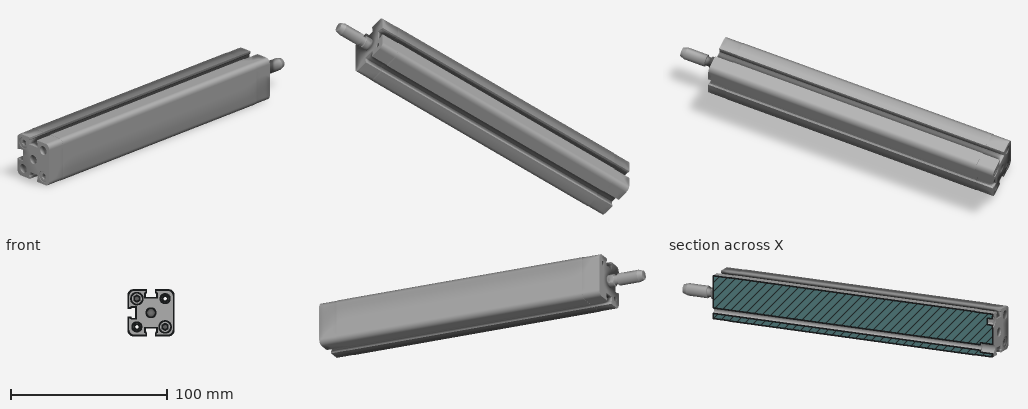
import cadquery as cq
import math

BODY_LENGTH = 198.0
CAP_LENGTH = 12.2
ROD_LENGTH = 24.5

BODY_WIDTH = 29.1
CAP_INSET = 0.18
CORNER_RADIUS = 3.5

SLOT_MOUTH = 6.0
SLOT_WIDTH = 7.3
SLOT_DEPTH = 5.0
LIP_THICKNESS = 1.5
LIP_SLOPE = 0.7

HOLE_SPACING = 18.0
SCREW_BORE_DIAMETER = 7.5
SCREW_BORE_DEPTH = 0.5
SOCKET_ACROSS_FLATS = 3.5
SOCKET_DEPTH = 3.3
THROUGH_HOLE_DIAMETER = 3.3
COUNTERBORE_DIAMETER = 6.0
COUNTERBORE_DEPTH = 9.0
CENTRE_HOLE_DIAMETER = 6.0
CENTRE_HOLE_DEPTH = 4.5

ROD_DIAMETER = 8.0
TIP_DIAMETER = 6.0
NECK_DIAMETER = 6.0
FLATS_WIDTH = 6.2
TIP_BEVEL = 3.1
THREAD_LENGTH = 17.1
NECK_LENGTH = 3.1
NECK_FILLET = 0.5
FLATS_LENGTH = 3.1

ROD_TIP = BODY_LENGTH + ROD_LENGTH
THREAD_END = ROD_TIP - THREAD_LENGTH
NECK_END = THREAD_END - NECK_LENGTH
FLATS_END = NECK_END - FLATS_LENGTH


def cylinder(diameter, start, end, x=0.0, z=0.0):
    """Round bar along +Y between two Y positions."""
    start_plane = cq.Plane((x, start, z), (1, 0, 0), (0, 1, 0))
    return cq.Workplane(start_plane).circle(diameter / 2).extrude(end - start)


def slot_cutter(inset, start, end):
    """Undercut slot open to the +Z side, with its walls and floor set back by the inset."""
    half_mouth = SLOT_MOUTH / 2 + inset
    half_slot = SLOT_WIDTH / 2 + inset
    outside = BODY_WIDTH
    lip_bottom = BODY_WIDTH / 2 - LIP_THICKNESS
    slope_bottom = lip_bottom - LIP_SLOPE
    floor = BODY_WIDTH / 2 - SLOT_DEPTH - inset
    right_wall = [(half_slot, floor), (half_slot, slope_bottom), (half_mouth, lip_bottom), (half_mouth, outside)]
    left_wall = [(-x, z) for x, z in reversed(right_wall)]
    outline = right_wall + left_wall
    return cq.Workplane("XZ", origin=(0, start, 0)).polyline(outline).close().extrude(start - end)


def slotted_bar(inset, start, end):
    """Length of the slotted section, its whole outline set back by the inset."""
    length = end - start
    width = BODY_WIDTH - 2 * inset
    bar = cq.Workplane("XY").box(width, length, width).translate((0, start + length / 2, 0))
    bar = bar.edges("|Y").fillet(CORNER_RADIUS - inset)
    for angle in (0, 180, -90):
        bar = bar.cut(slot_cutter(inset, start, end).rotate((0, 0, 0), (0, 1, 0), angle))
    return bar


def make_body():
    """Tube between a front and a rear end cap."""
    tube_end = BODY_LENGTH - CAP_LENGTH
    front_cap = slotted_bar(CAP_INSET, 0, CAP_LENGTH)
    tube = slotted_bar(0, CAP_LENGTH, tube_end)
    rear_cap = slotted_bar(CAP_INSET, tube_end, BODY_LENGTH)
    return front_cap.union(tube).union(rear_cap)


def cut_screw(body, x, z):
    """Sunken screw head with a hexagon socket, two of its flats facing +X and -X."""
    bore = cylinder(SCREW_BORE_DIAMETER, 0, SCREW_BORE_DEPTH, x, z)
    corner_diameter = SOCKET_ACROSS_FLATS / math.cos(math.pi / 6)
    socket_plane = cq.Plane((x, 0, z), (0, 0, 1), (0, 1, 0))
    socket = cq.Workplane(socket_plane).polygon(6, corner_diameter).extrude(SCREW_BORE_DEPTH + SOCKET_DEPTH)
    return body.cut(bore).cut(socket)


def cut_through_hole(body, x, z):
    """Hole along the whole body, counterbored at the front."""
    body = body.cut(cylinder(THROUGH_HOLE_DIAMETER, 0, BODY_LENGTH, x, z))
    return body.cut(cylinder(COUNTERBORE_DIAMETER, 0, COUNTERBORE_DEPTH, x, z))


def make_flat_cutter():
    """Cutter for the flat on the +X side of the rod, with a sloped run-out toward the body."""
    flat_x = FLATS_WIDTH / 2
    outside = ROD_DIAMETER
    top = NECK_END + NECK_FILLET
    runout_end = FLATS_END - (outside - flat_x)
    outline = [(flat_x, top), (flat_x, FLATS_END), (outside, runout_end), (outside, top)]
    return cq.Workplane("XY").polyline(outline).close().extrude(ROD_DIAMETER, both=True)


def make_rod():
    """Rod with a plain base, a filleted neck, a thread cylinder and a bevelled tip."""
    rod_radius = ROD_DIAMETER / 2
    neck_radius = NECK_DIAMETER / 2
    fillet_radius = neck_radius + NECK_FILLET
    profile = (
        cq.Workplane("XY")
        .moveTo(0, BODY_LENGTH)
        .lineTo(rod_radius, BODY_LENGTH)
        .lineTo(rod_radius, NECK_END)
        .lineTo(fillet_radius, NECK_END)
        .radiusArc((neck_radius, NECK_END + NECK_FILLET), NECK_FILLET)
        .lineTo(neck_radius, THREAD_END - NECK_FILLET)
        .radiusArc((fillet_radius, THREAD_END), NECK_FILLET)
        .lineTo(rod_radius, THREAD_END)
        .lineTo(rod_radius, ROD_TIP - TIP_BEVEL)
        .lineTo(TIP_DIAMETER / 2, ROD_TIP)
        .lineTo(0, ROD_TIP)
        .close()
    )
    rod = profile.revolve(360, (0, 0, 0), (0, 1, 0))
    flat = make_flat_cutter()
    return rod.cut(flat).cut(flat.mirror("YZ"))


result = make_body().union(make_rod())
result = result.cut(cylinder(CENTRE_HOLE_DIAMETER, 0, CENTRE_HOLE_DEPTH))
hole_offset = HOLE_SPACING / 2
for side in (-1, 1):
    result = cut_screw(result, side * hole_offset, -side * hole_offset)
    result = cut_through_hole(result, side * hole_offset, side * hole_offset)